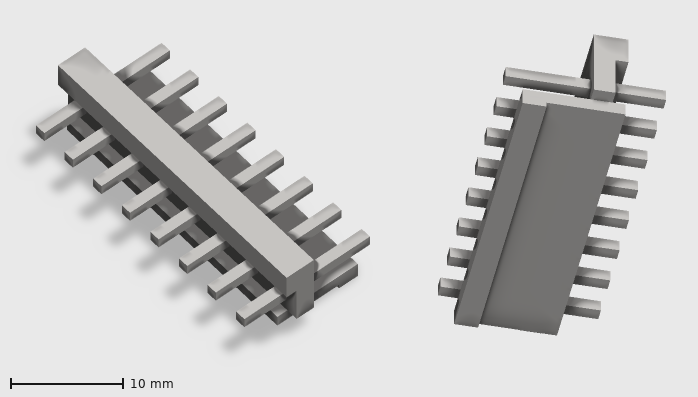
import cadquery as cq


wall_length = 31.62
overall_height = 8.5
wall_front = 4.9
wall_back = 6.9
lip_front = 3.73
lip_height = 2.78

plate_length = 29.05
plate_back = 13.1
plate_thickness = 1.23
foot_height = 0.47
foot_depth = 2.18
plate_top = foot_height + plate_thickness

pin_count = 8
pin_pitch = 3.95
pin_side = 1.15
pin_length = 14.6
pin_center_height = 3.7


def extrude_side_profile(points, length):
    """Extrude a (Y, Z) outline along X, centred on X = 0."""
    return cq.Workplane("YZ").polyline(points).close().extrude(length / 2, both=True)


def make_wall():
    lip_bottom = overall_height - lip_height
    outline = [
        (wall_front, plate_top),
        (wall_back, plate_top),
        (wall_back, overall_height),
        (lip_front, overall_height),
        (lip_front, lip_bottom),
        (wall_front, lip_bottom),
    ]
    return extrude_side_profile(outline, wall_length)


def make_plate():
    foot_front = plate_back - foot_depth
    outline = [
        (lip_front, foot_height),
        (foot_front, foot_height),
        (foot_front, 0),
        (plate_back, 0),
        (plate_back, plate_top),
        (lip_front, plate_top),
    ]
    return extrude_side_profile(outline, plate_length)


def make_pins():
    return (
        cq.Workplane("XY")
        .rarray(pin_pitch, 0.32, pin_count, 1)
        .box(pin_side, pin_length, pin_side)
        .translate((0, pin_length / 2, pin_center_height))
    )


result = make_wall().union(make_plate()).union(make_pins())